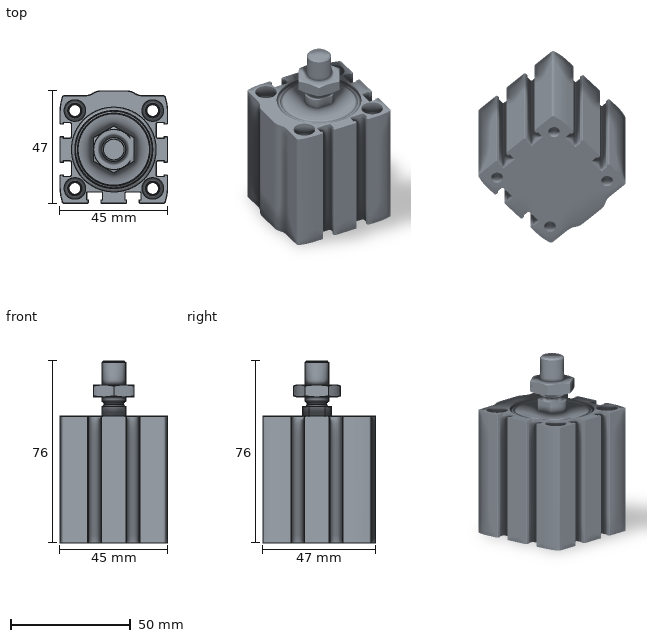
import cadquery as cq
import math

BODY_SIZE = 45.0
BODY_HEIGHT = 53.0
TOTAL_HEIGHT = 76.0
HALF = BODY_SIZE / 2

SIDE_FLAT_HALF = 15.5
SIDE_ARC_RADIUS = 21.0
CORNER_RADIUS = 1.0

PAD_RISE = 2.0
PAD_TOP_HALF = 5.2
PAD_FOOT_HALF = 12.0

SLOT_OFFSET = 8.0
SLOT_WIDTH = 6.5
SLOT_MOUTH = 5.2
SLOT_DEPTH = 4.75
SLOT_LIP = 1.5
SLOT_MOUTH_RADIUS = 0.3
SIDE_SLOT_FLOOR_RADIUS = 0.6
FRONT_SLOT_FLOOR_RADIUS = 0.2

HOLE_OFFSET = 16.25
HOLE_DIAMETER = 4.92
COUNTERBORE_DIAMETER = 9.0
COUNTERBORE_DEPTH = 4.9
HOLE_ENTRY_DIAMETER = 6.0

GROOVE_DIAMETER = 35.4
GROOVE_DEPTH = 1.3
RIDGE_DIAMETER = 32.6
RIDGE_DEPTH = 0.4
VALLEY_DIAMETER = 32.0
VALLEY_DEPTH = 1.0
COVER_EDGE_DIAMETER = 30.4
COVER_EDGE_DEPTH = 0.4
COVER_DIAMETER = 29.8
COVER_DEPTH = 0.3
COVER_Z = BODY_HEIGHT - COVER_DEPTH

ROD_DIAMETER = 12.0
ROD_FLATS = 10.0
ROD_SEAT_DEPTH = 5.0
ROD_BOTTOM_Z = COVER_Z - ROD_SEAT_DEPTH
ROD_SHOULDER_Z = 57.0
NECK_DIAMETER = 8.1
NECK_FOOT_DIAMETER = 9.0
NECK_START_Z = 57.9
NECK_END_Z = 58.5
THREAD_DIAMETER = 10.0
THREAD_START_Z = 59.3
THREAD_TIP_DIAMETER = 8.65

NUT_FLATS = 17.0
NUT_BOTTOM_Z = 61.05
NUT_THICKNESS = 5.0
NUT_FACE_DIAMETER = 16.8
NUT_CHAMFER_ANGLE = 18.0


def make_profile():
    """Extruded outer profile of the housing without its slots."""
    corner_reach = HALF - SIDE_FLAT_HALF

    def side_x(reach):
        return HALF - SIDE_ARC_RADIUS + math.sqrt(SIDE_ARC_RADIUS**2 - reach**2)

    mid = (side_x(corner_reach / 2), SIDE_FLAT_HALF + corner_reach / 2)
    end = (side_x(corner_reach), HALF)
    blend_run = (PAD_FOOT_HALF - PAD_TOP_HALF) / 2
    blend_mid = (PAD_TOP_HALF + blend_run, HALF + PAD_RISE / 2)
    outline = (
        cq.Workplane("XY")
        .moveTo(-end[0], -HALF)
        .lineTo(end[0], -HALF)
        .threePointArc((mid[0], -mid[1]), (HALF, -SIDE_FLAT_HALF))
        .lineTo(HALF, SIDE_FLAT_HALF)
        .threePointArc(mid, end)
        .lineTo(PAD_FOOT_HALF, HALF)
        .tangentArcPoint(blend_mid, relative=False)
        .tangentArcPoint((PAD_TOP_HALF, HALF + PAD_RISE), relative=False)
        .lineTo(-PAD_TOP_HALF, HALF + PAD_RISE)
        .tangentArcPoint((-blend_mid[0], blend_mid[1]), relative=False)
        .tangentArcPoint((-PAD_FOOT_HALF, HALF), relative=False)
        .lineTo(-end[0], HALF)
        .threePointArc((-mid[0], mid[1]), (-HALF, SIDE_FLAT_HALF))
        .lineTo(-HALF, -SIDE_FLAT_HALF)
        .threePointArc((-mid[0], -mid[1]), (-end[0], -HALF))
        .close()
        .extrude(BODY_HEIGHT)
    )
    return round_corners(outline, end[0])


def round_corners(body, corner_x):
    """Round the four outer corner edges."""
    for x in (-corner_x, corner_x):
        for y in (-HALF, HALF):
            body = body.edges(cq.selectors.NearestToPointSelector((x, y, BODY_HEIGHT / 2)))
            body = body.fillet(CORNER_RADIUS)
    return body


def t_slot(offset, angle, floor_radius):
    """T-slot cutter for the -Y face, turned about the rod axis onto its own face."""
    pocket_height = SLOT_DEPTH - SLOT_LIP
    pocket = (
        cq.Workplane("XY")
        .center(offset, -HALF + SLOT_LIP + pocket_height / 2)
        .rect(SLOT_WIDTH, pocket_height)
        .extrude(BODY_HEIGHT)
        .edges("|Z and >Y")
        .fillet(floor_radius)
    )
    half_mouth = SLOT_MOUTH / 2
    flare = half_mouth + SLOT_MOUTH_RADIUS
    mouth = (
        cq.Workplane("XY", origin=(offset, -HALF, 0))
        .moveTo(-flare, 0)
        .lineTo(flare, 0)
        .radiusArc((half_mouth, SLOT_MOUTH_RADIUS), -SLOT_MOUTH_RADIUS)
        .lineTo(half_mouth, SLOT_LIP)
        .lineTo(-half_mouth, SLOT_LIP)
        .lineTo(-half_mouth, SLOT_MOUTH_RADIUS)
        .radiusArc((-flare, 0), -SLOT_MOUTH_RADIUS)
        .close()
        .extrude(BODY_HEIGHT)
    )
    return pocket.union(mouth).rotate((0, 0, 0), (0, 0, 1), angle)


def revolved(points):
    """Solid of revolution about Z from (radius, z) points."""
    return cq.Workplane("XZ").polyline(points).close().revolve(360, (0, 0), (0, 1))


def mounting_hole():
    """Counterbored through hole with a conical entry at the counterbore floor."""
    floor_z = BODY_HEIGHT - COUNTERBORE_DEPTH
    entry_depth = (HOLE_ENTRY_DIAMETER - HOLE_DIAMETER) / 2
    return revolved([
        (0, 0),
        (HOLE_DIAMETER / 2, 0),
        (HOLE_DIAMETER / 2, floor_z - entry_depth),
        (HOLE_ENTRY_DIAMETER / 2, floor_z),
        (COUNTERBORE_DIAMETER / 2, floor_z),
        (COUNTERBORE_DIAMETER / 2, BODY_HEIGHT),
        (0, BODY_HEIGHT),
    ])


def cover_recess():
    """Sunken cover face with a ring groove whose floor climbs inwards in two cones."""
    return revolved([
        (0, BODY_HEIGHT),
        (0, COVER_Z),
        (COVER_DIAMETER / 2, COVER_Z),
        (COVER_EDGE_DIAMETER / 2, BODY_HEIGHT - COVER_EDGE_DEPTH),
        (VALLEY_DIAMETER / 2, BODY_HEIGHT - VALLEY_DEPTH),
        (RIDGE_DIAMETER / 2, BODY_HEIGHT - RIDGE_DEPTH),
        (GROOVE_DIAMETER / 2, BODY_HEIGHT - GROOVE_DEPTH),
        (GROOVE_DIAMETER / 2, BODY_HEIGHT),
    ])


def rod_foot():
    """Round foot of the piston rod; it also shapes its seat in the cover."""
    return cq.Workplane("XY", origin=(0, 0, ROD_BOTTOM_Z)).circle(ROD_DIAMETER / 2).extrude(ROD_SEAT_DEPTH)


def make_housing():
    body = make_profile()
    slot_faces = [
        (-90, SIDE_SLOT_FLOOR_RADIUS),
        (0, FRONT_SLOT_FLOOR_RADIUS),
        (90, SIDE_SLOT_FLOOR_RADIUS),
    ]
    for angle, floor_radius in slot_faces:
        for offset in (-SLOT_OFFSET, SLOT_OFFSET):
            body = body.cut(t_slot(offset, angle, floor_radius))
    for x in (-HOLE_OFFSET, HOLE_OFFSET):
        for y in (-HOLE_OFFSET, HOLE_OFFSET):
            body = body.cut(mounting_hole().translate((x, y, 0)))
    return body.cut(cover_recess()).cut(rod_foot())


def make_piston_rod():
    """Rod with wrench flats, relief neck and threaded end, seated in the cover."""
    tip_chamfer = (THREAD_DIAMETER - THREAD_TIP_DIAMETER) / 2
    flats_height = ROD_SHOULDER_Z - COVER_Z
    flats = (
        cq.Workplane("XY", origin=(0, 0, COVER_Z))
        .circle(ROD_DIAMETER / 2)
        .extrude(flats_height)
        .intersect(
            cq.Workplane("XY", origin=(0, 0, COVER_Z))
            .rect(ROD_FLATS, ROD_DIAMETER)
            .extrude(flats_height)
        )
    )
    threaded_end = revolved([
        (0, ROD_SHOULDER_Z),
        (NECK_FOOT_DIAMETER / 2, ROD_SHOULDER_Z),
        (NECK_DIAMETER / 2, NECK_START_Z),
        (NECK_DIAMETER / 2, NECK_END_Z),
        (THREAD_DIAMETER / 2, THREAD_START_Z),
        (THREAD_DIAMETER / 2, TOTAL_HEIGHT - tip_chamfer),
        (THREAD_TIP_DIAMETER / 2, TOTAL_HEIGHT),
        (0, TOTAL_HEIGHT),
    ])
    return rod_foot().union(flats).union(threaded_end)


def make_nut():
    """Hexagon nut with conically chamfered corners; two flats face -X and +X."""
    corner_radius = NUT_FLATS / 2 / math.cos(math.pi / 6)
    face_radius = NUT_FACE_DIAMETER / 2
    chamfer_height = (corner_radius - face_radius) * math.tan(math.radians(NUT_CHAMFER_ANGLE))
    top_z = NUT_BOTTOM_Z + NUT_THICKNESS
    envelope = revolved([
        (THREAD_DIAMETER / 2, NUT_BOTTOM_Z),
        (face_radius, NUT_BOTTOM_Z),
        (corner_radius, NUT_BOTTOM_Z + chamfer_height),
        (corner_radius, top_z - chamfer_height),
        (face_radius, top_z),
        (THREAD_DIAMETER / 2, top_z),
    ])
    return (
        cq.Workplane("XY", origin=(0, 0, NUT_BOTTOM_Z))
        .polygon(6, 2 * corner_radius)
        .extrude(NUT_THICKNESS)
        .rotate((0, 0, 0), (0, 0, 1), 30)
        .intersect(envelope)
    )


housing = make_housing()
piston_rod = make_piston_rod()
nut = make_nut()

result = cq.Compound.makeCompound([housing.val(), piston_rod.val(), nut.val()])